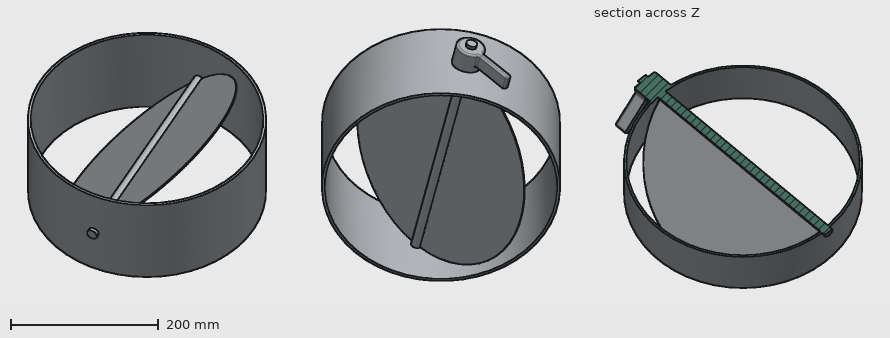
import cadquery as cq
import math

ring_diameter = 323.0
bore_diameter = 315.0
ring_height = 141.2

disc_diameter = 313.0
disc_thickness = 1.8
disc_tilt = 45.0

shaft_diameter = 15.0
shaft_length = 363.0
shaft_front_overhang = 5.0

hub_diameter = 40.0
hub_wall_overlap = 1.8
shaft_back_overhang = 4.7
knob_edge_fillet = 3.0
lever_reach = 75.0
lever_width = 9.5
lever_depth = 20.0
lever_tip_fillet = 3.0
lever_root_fillet = 3.3
lever_angle = 45.0

shaft_front = -ring_diameter / 2 - shaft_front_overhang
shaft_back = shaft_front + shaft_length
knob_back = shaft_back - shaft_back_overhang
hub_front = (ring_diameter + bore_diameter) / 4 - hub_wall_overlap


def cylinder_along_y(diameter, y_start, y_end):
    profile = cq.Workplane("XZ", origin=(0, y_start, 0)).circle(diameter / 2)
    return profile.extrude(y_start - y_end)


def make_ring():
    profile = cq.Workplane("XY").circle(ring_diameter / 2).circle(bore_diameter / 2)
    return profile.extrude(ring_height / 2, both=True)


def make_disc():
    disc = cq.Workplane("XY").circle(disc_diameter / 2).extrude(disc_thickness / 2, both=True)
    return disc.rotate((0, 0, 0), (0, 1, 0), -disc_tilt)


def make_knob():
    hub = cylinder_along_y(hub_diameter, hub_front, knob_back)
    lever = (
        cq.Workplane("XZ", origin=(0, knob_back, 0))
        .center(-lever_reach / 2, 0)
        .rect(lever_reach, lever_width)
        .extrude(lever_depth)
        .edges("|Y and <X")
        .fillet(lever_tip_fillet)
    )
    knob = hub.union(lever)
    root_reach = math.sqrt(hub_diameter ** 2 - lever_width ** 2) / 2
    for side in (-1, 1):
        root = (-root_reach, knob_back - lever_depth / 2, side * lever_width / 2)
        knob = knob.edges(cq.NearestToPointSelector(root)).fillet(lever_root_fillet)
    knob = knob.faces(">Y").edges().fillet(knob_edge_fillet)
    return knob.rotate((0, 0, 0), (0, 1, 0), -lever_angle)


shaft = cylinder_along_y(shaft_diameter, shaft_front, shaft_back)
result = make_ring().union(make_disc()).union(make_knob()).union(shaft)